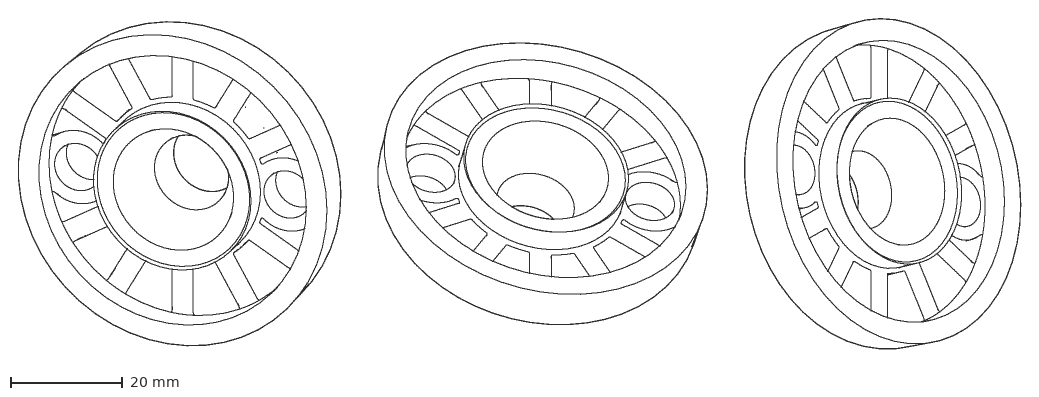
import cadquery as cq
import math

outer_diameter = 59.0
total_depth = 18.2
hub_projection = 0.2
back_depth = total_depth - hub_projection

outer_radius = outer_diameter / 2
shoulder_start_radius = 29.25
shoulder_start_depth = 7.1
dome_edge_radius = 26.7
dome_edge_depth = 11.2
back_flat_radius = 11.15
shoulder_arc_radius = 4.85
dome_arc_radius = 64.9

recess_radius = 25.55
recess_depth = 5.2
hub_radius = 15.05
hub_face_radius = 14.6
hub_face_depth = 0.4
hub_root_fillet = 0.5

socket_mouth_radius = 11.5
socket_corner_radius = 9.75
socket_corner_depth = 10.6
socket_fillet = 0.4
seat_depth = 9.7
bore_front_radius = 7.1
bore_back_radius = 6.5

pocket_inner_radius = 15.9
pocket_slope = 30.0
pocket_fillet = 1.0
root_fillet = 0.3

rib_pitch = 30
rib_width = 4.0
boss_offset = 20.0
boss_centers = [(-boss_offset, 0), (boss_offset, 0)]
boss_radius = 6.95
boss_hole_radius = 4.5
boss_hole_depth = 6.0


def arc_middle(start, end, radius):
    """Middle of the arc from start to end that bulges to the left of that direction."""
    dx = end[0] - start[0]
    dy = end[1] - start[1]
    chord = math.hypot(dx, dy)
    bulge = radius - math.sqrt(radius**2 - (chord / 2) ** 2)
    return (
        (start[0] + end[0]) / 2 - dy / chord * bulge,
        (start[1] + end[1]) / 2 + dx / chord * bulge,
    )


def spin(profile):
    """Revolve a closed (radius, depth) profile about the Y axis."""
    return profile.close().revolve(360, (0, 0, 0), (0, 1, 0))


def make_shell():
    """Domed outer body with the annular recess around a hub ending in a thin lip."""
    shoulder = (shoulder_start_radius, shoulder_start_depth)
    dome_edge = (dome_edge_radius, dome_edge_depth)
    back_edge = (back_flat_radius, back_depth)
    fillet_start = (hub_radius, recess_depth - hub_root_fillet)
    fillet_end = (hub_radius + hub_root_fillet, recess_depth)
    profile = (
        cq.Workplane("XY")
        .moveTo(0, hub_face_depth)
        .lineTo(hub_face_radius, hub_face_depth)
        .lineTo(hub_radius, -hub_projection)
        .lineTo(*fillet_start)
        .threePointArc(arc_middle(fillet_start, fillet_end, hub_root_fillet), fillet_end)
        .lineTo(recess_radius, recess_depth)
        .lineTo(recess_radius, 0)
        .lineTo(outer_radius, 0)
        .lineTo(*shoulder)
        .threePointArc(arc_middle(dome_edge, shoulder, shoulder_arc_radius), dome_edge)
        .threePointArc(arc_middle(back_edge, dome_edge, dome_arc_radius), back_edge)
        .lineTo(0, back_depth)
    )
    return spin(profile)


def make_socket():
    """Tapered socket whose floor rises towards the bore."""
    profile = (
        cq.Workplane("XY")
        .moveTo(0, hub_face_depth)
        .lineTo(socket_mouth_radius, hub_face_depth)
        .lineTo(socket_corner_radius, socket_corner_depth)
        .lineTo(bore_front_radius, seat_depth)
        .lineTo(0, seat_depth)
    )
    return spin(profile).edges("%CIRCLE").edges(">Y").fillet(socket_fillet)


def make_bore():
    """Through bore narrowing towards the back."""
    profile = (
        cq.Workplane("XY")
        .moveTo(0, seat_depth)
        .lineTo(bore_front_radius, seat_depth)
        .lineTo(bore_back_radius, back_depth)
        .lineTo(0, back_depth)
    )
    return spin(profile)


def make_pocket_ring():
    """Ring below the recess floor, deepest at a rounded corner beside the hub."""
    slope = math.radians(pocket_slope)
    fillet_center_radius = pocket_inner_radius + pocket_fillet
    floor_radius = fillet_center_radius + pocket_fillet * math.sin(slope)
    floor_depth = recess_depth + (recess_radius - floor_radius) * math.tan(slope)
    floor_start = (floor_radius, floor_depth)
    wall_end = (pocket_inner_radius, floor_depth - pocket_fillet * math.cos(slope))
    profile = (
        cq.Workplane("XY")
        .moveTo(pocket_inner_radius, recess_depth)
        .lineTo(recess_radius, recess_depth)
        .lineTo(*floor_start)
        .threePointArc(arc_middle(wall_end, floor_start, pocket_fillet), wall_end)
    )
    return spin(profile)


def recess_plane():
    return cq.Workplane("XZ", origin=(0, recess_depth, 0))


def standing(outline):
    """Extrude an outline lying on the recess floor level towards the back."""
    return outline.extrude(recess_depth - back_depth)


def make_pockets():
    """Pocket ring divided by the ribs and bosses, with rounded feet along their sides."""
    pockets = make_pocket_ring()
    rib = standing(recess_plane().center(outer_radius / 2, 0).rect(outer_radius, rib_width))
    for angle in range(0, 360, rib_pitch):
        on_boss_line = angle % 180 == 0
        if not on_boss_line:
            pockets = pockets.cut(rib.rotate((0, 0, 0), (0, 1, 0), angle))
    bosses = standing(recess_plane().pushPoints(boss_centers).circle(boss_radius))
    pockets = pockets.cut(bosses)
    return pockets.edges("not(%LINE or %CIRCLE)").fillet(root_fillet)


def make_boss_holes():
    return recess_plane().pushPoints(boss_centers).circle(boss_hole_radius).extrude(-boss_hole_depth)


result = (
    make_shell()
    .cut(make_socket())
    .cut(make_bore())
    .cut(make_pockets())
    .cut(make_boss_holes())
)